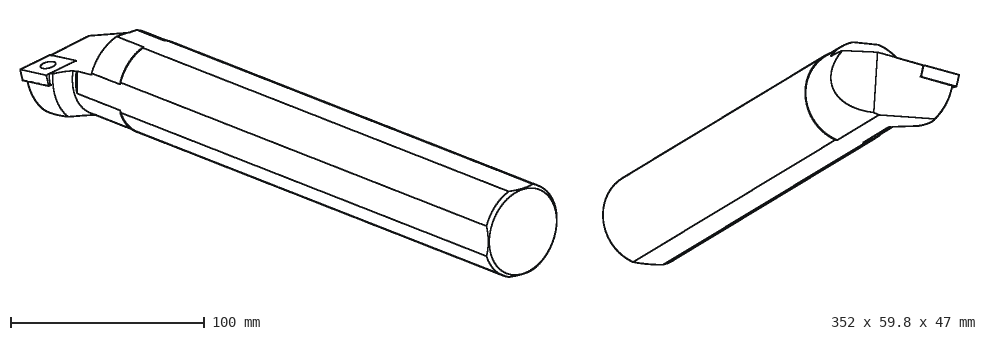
import cadquery as cq
import math

TOTAL_LENGTH = 352.0
SHANK_RADIUS = 25.0
NECK_RADIUS = 24.5
FLAT_OFFSET = 23.5
NECK_END = 65.0
END_CHAMFER = 1.8
BIG = 105.5

FLOOR_HEIGHT = 7.0
FLOOR_SLOPE_X = 0.09
FLOOR_SLOPE_Y = 0.2
WALL_BASE = 42.5
WALL_LEAN = 0.19

FACE_CORNER = (4.5, 8.8)
CORNER_SLOPE = 0.63
NOSE_FRONT = (1.0, -33.8)
FACE_CLEARANCE = 0.06

NOSE_START = (0, 31.5)
NOSE_CREST = (11.3, 33.5)
SCOOP_START = (21.5, 31.3)
SCOOP_MIDDLE = (25.0, 27.5)
SCOOP_END_X = 29.2
SIDE_FLAT_START = 31.5

INSERT_EDGE = 19.5
INSERT_THICKNESS = 6.5
INSERT_ANGLE = 80.0
INSERT_LEAD = 3.0
INSERT_HOLE = 8.0
TIP_Y = SHANK_RADIUS - 59.8


def floor_height(x, y):
    return FLOOR_HEIGHT + FLOOR_SLOPE_X * x + FLOOR_SLOPE_Y * y


FLOOR = cq.Plane(
    origin=(0, 0, FLOOR_HEIGHT),
    xDir=(1, 0, FLOOR_SLOPE_X),
    normal=(-FLOOR_SLOPE_X, -FLOOR_SLOPE_Y, 1),
)


def round_bar(radius, start, end):
    return cq.Workplane("YZ", origin=(start, 0, 0)).circle(radius).extrude(end - start)


def flatted(bar, side_flat_start):
    """Trim a bar with flats at the top and bottom, and at the -Y side from a given x."""
    slab = cq.Workplane("XY").box(2 * TOTAL_LENGTH, BIG, 2 * FLAT_OFFSET)
    side = cq.Workplane("XY").box(TOTAL_LENGTH, BIG, BIG, centered=(False, True, True))
    side = side.translate((side_flat_start, -FLAT_OFFSET - BIG / 2, 0))
    return bar.intersect(slab).cut(side)


def make_shank():
    bar = round_bar(SHANK_RADIUS, NECK_END, TOTAL_LENGTH)
    return flatted(bar.faces(">X").chamfer(END_CHAMFER), NECK_END)


def make_nose():
    """Swollen -Y half of the head, scooped down to the neck behind the insert."""
    return (
        cq.Workplane("XY")
        .lineTo(*NOSE_START)
        .threePointArc(NOSE_CREST, SCOOP_START)
        .threePointArc(SCOOP_MIDDLE, (SCOOP_END_X, NECK_RADIUS))
        .lineTo(SCOOP_END_X, 0)
        .close()
        .revolve(360, (0, 0, 0), (1, 0, 0))
        .intersect(cq.Workplane("XY").box(BIG, BIG, BIG).translate((0, -BIG / 2, 0)))
    )


def make_corner_cut():
    """Wedge that cuts the slanted back corner of the head."""
    corner_run = (BIG - FACE_CORNER[1]) / CORNER_SLOPE
    return (
        cq.Workplane("XY", origin=(0, 0, -BIG / 2))
        .moveTo(*FACE_CORNER)
        .line(corner_run, corner_run * CORNER_SLOPE)
        .line(-corner_run - BIG, 0)
        .line(0, -corner_run * CORNER_SLOPE - CORNER_SLOPE * BIG)
        .close()
        .extrude(BIG)
    )


def make_face_cut():
    """Half space ahead of the front face, which retreats toward the bottom."""
    run = FACE_CORNER[0] - NOSE_FRONT[0]
    rise = FACE_CORNER[1] - NOSE_FRONT[1]
    face = cq.Plane(
        origin=(*NOSE_FRONT, FLOOR_HEIGHT),
        xDir=(run, rise, 0),
        normal=(-rise, run, -FACE_CLEARANCE * rise),
    )
    return cq.Workplane(face).rect(2 * BIG, 2 * BIG).extrude(BIG)


def make_floor_cut():
    """Space above the inclined floor, closed by the leaning step wall."""
    section = cq.Plane(origin=FLOOR.origin, xDir=FLOOR.xDir, normal=-FLOOR.yDir)
    return (
        cq.Workplane(section)
        .polyline([(-BIG, 0), (WALL_BASE, 0), (WALL_BASE + WALL_LEAN * BIG, BIG), (-BIG, BIG)])
        .close()
        .extrude(BIG, both=True)
    )


def make_insert():
    """Rhombic plate lying flush with the floor, with its tip at x = 0."""
    tip = FLOOR.toLocalCoords(cq.Vector(0, TIP_Y, floor_height(0, TIP_Y)))
    front = math.radians(INSERT_LEAD)
    side = math.radians(INSERT_LEAD + INSERT_ANGLE)
    along = cq.Vector(math.cos(front), math.sin(front)) * INSERT_EDGE
    across = cq.Vector(math.cos(side), math.sin(side)) * INSERT_EDGE
    corners = [tip, tip + along, tip + along + across, tip + across]
    center = tip + (along + across) / 2
    return (
        cq.Workplane(FLOOR)
        .polyline([(corner.x, corner.y) for corner in corners])
        .close()
        .moveTo(center.x, center.y)
        .circle(INSERT_HOLE / 2)
        .extrude(-INSERT_THICKNESS)
    )


def make_holder(insert):
    """Bar with its head; cutting the insert leaves a flush stud in the insert hole."""
    neck = round_bar(NECK_RADIUS, 0, NECK_END)
    head = flatted(neck.union(make_nose()), SIDE_FLAT_START)
    head = head.cut(make_corner_cut()).cut(make_face_cut()).cut(make_floor_cut()).cut(insert)
    return head.union(make_shank())


insert = make_insert()
holder = make_holder(insert)

result = cq.Compound.makeCompound([*holder.solids().vals(), insert.val()])